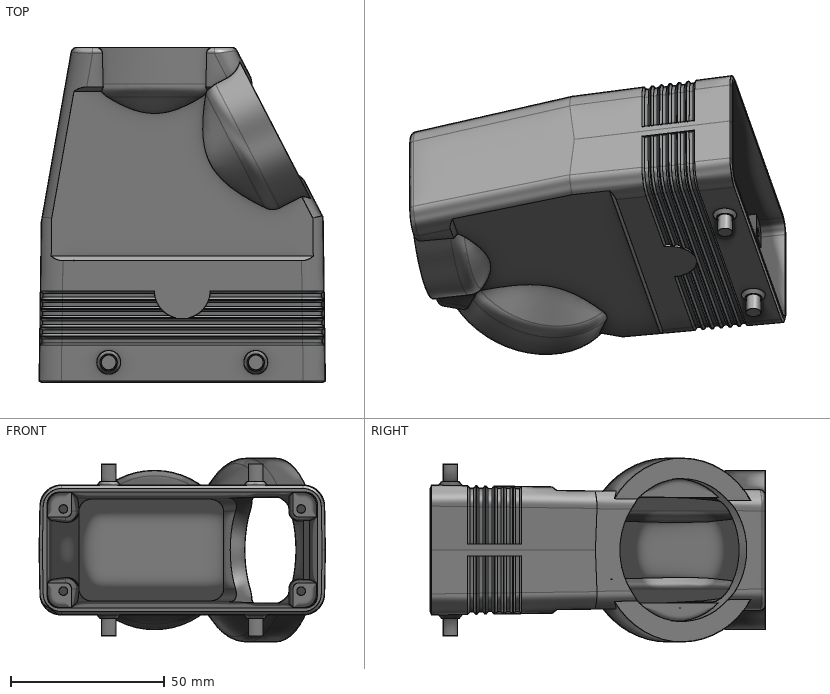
import cadquery as cq
import math

LENGTH = 109.39
HALF_WIDTH = 93.49 / 2
HALF_HEIGHT = 21.2
OVERALL_HEIGHT = 60.0
DRAFT = 0.8
SIDE_CREASE = 0.4
CORNER_RADIUS = 7.0
BACK_EDGE_RADIUS = 2.0
MOUTH_CHAMFER_WIDTH = 1.1
MOUTH_CHAMFER_LENGTH = 0.5
REACH = 100.0

LEFT_KINK = (-45.55, 55.0)
RIGHT_KINK = (45.7, 54.5)
LEFT_BACK_X = -36.0
RIGHT_BACK_X = 17.3

RECESS_DEPTH = 1.15
RECESS_FRONT = 39.8
RECESS_BACK = 96.5
RECESS_RAMP = 1.5

GROOVE_COUNT = 6
GROOVE_FIRST_Y = 13.6
GROOVE_PITCH = 2.98
GROOVE_TOP_WIDTH = 2.7
GROOVE_FLOOR_WIDTH = 1.2
GROOVE_DEPTH = 0.8
GROOVE_END_Z = 1.9
THUMB_PAD_RADIUS = 9.1
THUMB_PAD_Y = 30.0

PEG_X = 24.0
PEG_Y = 6.6
PEG_RADIUS = 2.4
PEG_TIP_Z = 28.0
PEG_FOOT_RADIUS = 3.9
PEG_FOOT_TOP_RADIUS = 2.8
PEG_FOOT_TOP_Z = 22.4

BACK_BOSS_X = -9.05
BACK_BOSS_RADIUS = 26.0
BACK_BOSS_LENGTH = 11.9
BACK_SHOULDER_RADIUS = 6.0
SIDE_BOSS_RADIUS = OVERALL_HEIGHT / 2
SIDE_BOSS_INSET = 0.85
SIDE_BOSS_LENGTH = 10.4
SIDE_SHOULDER_RADIUS = 6.0
SIDE_BOSS_POSITION = 0.512
SIDE_HOLE_RADIUS = 23.3
SIDE_HOLE_HALF_HEIGHT = 17.2

SLANT_WALL = 5.4
BACK_WALL = 4.4
CAVITY_MOUTH_X = 44.1
CAVITY_LEFT_KINK = (-42.8, 52.0)
CAVITY_LEFT_BACK_X = -33.7
CAVITY_MOUTH_Z = 18.9
CAVITY_BACK_Z = 16.6
CAVITY_CORNER_RADIUS = 4.0
LEDGE_INNER_X = 39.5
LEDGE_OUTER_X = 41.6

POST_FRONT_Y = 8.0
POST_INNER_X = 36.1
POST_INNER_Z = 10.7
POST_DRAFT = 1.4
POST_CORNER_RADIUS = 2.0
POST_HOLE_X = 38.8
POST_HOLE_Z = 13.4
POST_HOLE_RADIUS = 1.4
POST_HOLE_DEPTH = 12.0

RIM_MIN_ALONG_Y = 0.7
RIM_MIN_Z = CAVITY_BACK_Z - 1

DRAFT_SLOPE = math.tan(math.radians(DRAFT))
SLANT_DX = RIGHT_BACK_X - RIGHT_KINK[0]
SLANT_DY = LENGTH - RIGHT_KINK[1]
SLANT_LENGTH = math.hypot(SLANT_DX, SLANT_DY)
SLANT_NORMAL = (SLANT_DY / SLANT_LENGTH, -SLANT_DX / SLANT_LENGTH)


def section(inset):
    """Points of the crowned mouth rectangle, all sides moved in by inset, as (Z, X)."""
    x = HALF_WIDTH - inset
    shoulder_x = x - SIDE_CREASE
    z = HALF_HEIGHT - inset
    return [(0, x), (z, shoulder_x), (z, -shoulder_x), (0, -x), (-z, -shoulder_x), (-z, shoulder_x)]


def plan_prism(outline, half_height):
    """Plan outline extruded equally above and below the mid-plane."""
    return cq.Workplane("XY").polyline(outline).close().extrude(half_height, both=True)


def mirrored_in_z(solid):
    return solid.union(solid.mirror("XY"))


def is_broad_side_edge(edge):
    """True for an edge running front to back at the rim of a broad face."""
    along = edge.tangentAt(0.5)
    return abs(along.y) > RIM_MIN_ALONG_Y and abs(edge.Center().z) > RIM_MIN_Z


def round_broad_edges(solid, radius):
    edges = [edge for edge in solid.edges().vals() if is_broad_side_edge(edge)]
    return solid.newObject(edges).fillet(radius)


def make_block():
    """Drafted crowned block, before the plan outline is cut."""
    return cq.Workplane("ZX").polyline(section(0)).close().extrude(LENGTH, taper=DRAFT)


def make_shell():
    """Outer body: drafted block cut to the plan outline, with rounded edges and a chamfered mouth."""
    right_slope = SLANT_DY / SLANT_DX
    left_slope = (LENGTH - LEFT_KINK[1]) / (LEFT_BACK_X - LEFT_KINK[0])
    outline = [
        (-HALF_WIDTH, 0),
        (HALF_WIDTH, 0),
        (HALF_WIDTH, RIGHT_KINK[1] + right_slope * (HALF_WIDTH - RIGHT_KINK[0])),
        (RIGHT_BACK_X, LENGTH),
        (LEFT_BACK_X, LENGTH),
        (-HALF_WIDTH, LEFT_KINK[1] - left_slope * (HALF_WIDTH + LEFT_KINK[0])),
    ]
    shell = make_block().intersect(plan_prism(outline, REACH))
    shell = round_broad_edges(shell, CORNER_RADIUS)
    shell = shell.faces(">Y").edges().fillet(BACK_EDGE_RADIUS)
    return shell.cut(make_ring([(0, MOUTH_CHAMFER_WIDTH), (MOUTH_CHAMFER_LENGTH, 0)]))


def broad_face_z(y):
    return HALF_HEIGHT - DRAFT_SLOPE * y


def make_recess():
    """Cutter for the shallow recess, with ramps at its front and back ends."""
    floor_front = RECESS_FRONT + RECESS_RAMP
    floor_back = RECESS_BACK - RECESS_RAMP
    side = [
        (RECESS_FRONT, broad_face_z(RECESS_FRONT)),
        (floor_front, broad_face_z(floor_front) - RECESS_DEPTH),
        (floor_back, broad_face_z(floor_back) - RECESS_DEPTH),
        (RECESS_BACK, broad_face_z(RECESS_BACK)),
        (RECESS_BACK, REACH),
        (RECESS_FRONT, REACH),
    ]
    return mirrored_in_z(cq.Workplane("YZ").polyline(side).close().extrude(REACH, both=True))


def section_wire(y, inset):
    """Rounded body section at a given Y, moved in by inset."""
    points = section(DRAFT_SLOPE * y + inset)
    outline = cq.Workplane("ZX", origin=(0, y, 0)).polyline(points).close().wire().val()
    corners = [vertex for vertex in outline.Vertices() if abs(vertex.Z) > CORNER_RADIUS]
    return outline.fillet2D(CORNER_RADIUS - inset, corners)


def make_ring(stations):
    """Cutter round the body: everything outside a core given by (Y, inset) stations."""
    start_y = stations[0][0]
    width = stations[-1][0] - start_y
    ring = cq.Workplane("ZX", origin=(0, start_y, 0)).rect(2 * REACH, 2 * REACH).extrude(width)
    for start, end in zip(stations, stations[1:]):
        core = cq.Solid.makeLoft([section_wire(*start), section_wire(*end)], True)
        ring = ring.cut(cq.Workplane(core))
    return ring


def make_groove(y):
    """Cutter for one trapezoidal groove running round the body."""
    half_top = GROOVE_TOP_WIDTH / 2
    half_floor = GROOVE_FLOOR_WIDTH / 2
    return make_ring([
        (y - half_top, 0),
        (y - half_floor, GROOVE_DEPTH),
        (y + half_floor, GROOVE_DEPTH),
        (y + half_top, 0),
    ])


def make_grooves():
    """All grip grooves, interrupted at the side creases and at the round thumb pads."""
    side_lands = cq.Workplane("XY").box(3 * REACH, 3 * REACH, 2 * GROOVE_END_Z)
    thumb_pads = cq.Workplane("XY").center(0, THUMB_PAD_Y).circle(THUMB_PAD_RADIUS).extrude(REACH, both=True)
    lands = side_lands.union(thumb_pads)
    grooves = cq.Workplane()
    for index in range(GROOVE_COUNT):
        groove = make_groove(GROOVE_FIRST_Y + index * GROOVE_PITCH).cut(lands)
        grooves.add(groove)
    return grooves.combine()


def make_pegs():
    """Four locking pegs, each on a conical foot."""
    profile = [
        (0, 0),
        (PEG_FOOT_RADIUS, 0),
        (PEG_FOOT_RADIUS, broad_face_z(PEG_Y)),
        (PEG_FOOT_TOP_RADIUS, PEG_FOOT_TOP_Z),
        (PEG_RADIUS, PEG_FOOT_TOP_Z),
        (PEG_RADIUS, PEG_TIP_Z),
        (0, PEG_TIP_Z),
    ]
    peg = cq.Workplane("XZ").polyline(profile).close().revolve(360, (0, 0), (0, 1))
    pegs = mirrored_in_z(peg).translate((PEG_X, PEG_Y, 0))
    return pegs.union(pegs.mirror("YZ"))


def make_boss(centre, outward, radius, length, shoulder_radius):
    """Solid of revolution whose end face is centred on a plan point and faces outward."""
    plane = cq.Plane(origin=(*centre, 0), xDir=(0, 0, 1), normal=(-outward[1], outward[0], 0))
    half_root = math.sqrt(0.5)
    shoulder_end_radius = radius - shoulder_radius * (1 - half_root)
    shoulder_end_depth = length + shoulder_radius * half_root
    return (
        cq.Workplane(plane)
        .lineTo(radius, 0)
        .lineTo(radius, -length)
        .radiusArc((shoulder_end_radius, -shoulder_end_depth), shoulder_radius)
        .lineTo(0, -shoulder_end_depth - shoulder_end_radius)
        .close()
        .revolve(360, (0, 0), (0, 1))
    )


def slant_point(inset):
    """Side boss centre, moved inwards from the slanted wall by inset."""
    return (
        RIGHT_KINK[0] + SIDE_BOSS_POSITION * SLANT_DX - inset * SLANT_NORMAL[0],
        RIGHT_KINK[1] + SIDE_BOSS_POSITION * SLANT_DY - inset * SLANT_NORMAL[1],
    )


def make_side_hole():
    """Round hole through the slanted wall, flattened where it breaks into the rounded cavity corners."""
    plane = cq.Plane(origin=(*slant_point(0), 0), xDir=(0, 0, 1), normal=(*SLANT_NORMAL, 0))
    bore = cq.Workplane(plane).circle(SIDE_HOLE_RADIUS).extrude(-SLANT_WALL)
    opening = cq.Workplane(plane).circle(SIDE_HOLE_RADIUS).extrude(-SLANT_WALL - CAVITY_CORNER_RADIUS)
    height_limit = cq.Workplane("XY").box(3 * REACH, 3 * REACH, 2 * SIDE_HOLE_HALF_HEIGHT)
    return bore.union(opening.intersect(height_limit))


def inner_slant_y(x):
    """Y of the inner face of the slanted wall at a given X."""
    return RIGHT_KINK[1] + (x - RIGHT_KINK[0]) * SLANT_DY / SLANT_DX - SLANT_WALL / SLANT_NORMAL[1]


def inner_slant_x(y):
    """X of the inner face of the slanted wall at a given Y."""
    return RIGHT_KINK[0] + (y - RIGHT_KINK[1]) * SLANT_DX / SLANT_DY - SLANT_WALL / SLANT_NORMAL[0]


def cavity_part(outline):
    """Part of the cavity with a given plan outline, drafted in height and with rounded long edges."""
    floor_y = LENGTH - BACK_WALL
    side = [
        (0, CAVITY_MOUTH_Z),
        (floor_y, CAVITY_BACK_Z),
        (floor_y, -CAVITY_BACK_Z),
        (0, -CAVITY_MOUTH_Z),
    ]
    block = cq.Workplane("YZ").polyline(side).close().extrude(REACH, both=True)
    return round_broad_edges(block.intersect(plan_prism(outline, REACH)), CAVITY_CORNER_RADIUS)


def make_cavity():
    """Main cavity, and a front pocket that ends in a small ledge beside the slanted wall."""
    floor_y = LENGTH - BACK_WALL
    ledge_y = inner_slant_y(LEDGE_INNER_X)
    main = cavity_part([
        (-CAVITY_MOUTH_X, 0),
        (LEDGE_INNER_X, 0),
        (LEDGE_INNER_X, ledge_y),
        (inner_slant_x(floor_y), floor_y),
        (CAVITY_LEFT_BACK_X, floor_y),
        CAVITY_LEFT_KINK,
    ])
    front_pocket = cavity_part([
        (0, 0),
        (CAVITY_MOUTH_X, 0),
        (LEDGE_OUTER_X, ledge_y),
        (0, ledge_y),
    ])
    return main.union(front_pocket)


def make_post():
    """Corner post at +X +Z, oversized outwards so that it merges with the walls."""
    front = cq.Workplane("ZX", origin=(0, POST_FRONT_Y, 0))
    post = (
        front.center(POST_INNER_Z + REACH / 2, POST_INNER_X + REACH / 2)
        .sketch()
        .rect(REACH, REACH)
        .vertices()
        .fillet(POST_CORNER_RADIUS)
        .finalize()
        .extrude(LENGTH - POST_FRONT_Y, taper=-POST_DRAFT)
    )
    hole = (
        cq.Workplane("ZX", origin=(0, POST_FRONT_Y, 0))
        .center(POST_HOLE_Z, POST_HOLE_X)
        .circle(POST_HOLE_RADIUS)
        .extrude(POST_HOLE_DEPTH)
    )
    return post.cut(hole)


def make_posts():
    right_posts = mirrored_in_z(make_post())
    return right_posts.union(right_posts.mirror("YZ"))


back_boss = make_boss(
    (BACK_BOSS_X, LENGTH), (0, 1), BACK_BOSS_RADIUS, BACK_BOSS_LENGTH, BACK_SHOULDER_RADIUS
)
side_boss = make_boss(
    slant_point(SIDE_BOSS_INSET), SLANT_NORMAL, SIDE_BOSS_RADIUS, SIDE_BOSS_LENGTH, SIDE_SHOULDER_RADIUS
)
shell = make_shell().cut(make_recess()).cut(make_grooves())
body = shell.union(back_boss).union(side_boss).union(make_pegs())
result = body.cut(make_side_hole()).cut(make_cavity().cut(make_posts()))